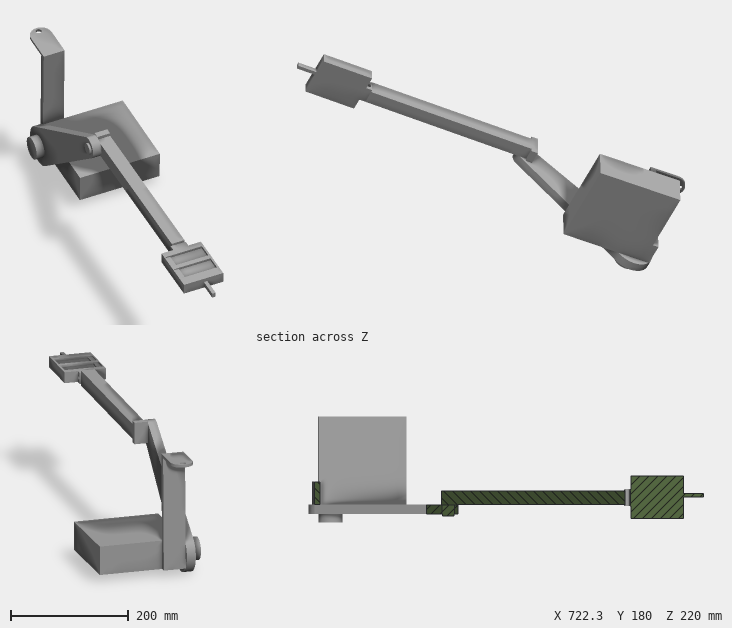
import cadquery as cq
import math


BASE_TILT = 1.2
CORNER_X, CORNER_Z = -19.0, -22.0
BOX_SIDE = 149.5
BOX_HEIGHT = 50.5
STRAP_HEIGHT = 205.0
STRAP_THICK = 10.0
BRACKET_WIDTH = 39.0
PLATE_LENGTH = 71.5
PLATE_THICK = 5.0
MOUNT_HOLE_DIA = 10.0
MOUNT_HOLE_FROM_END = 9.0

ARM_THICK = 16.0
LARGE_RADIUS = 35.5
SMALL_RADIUS = 19.0
ELBOW_X, ELBOW_Z = 200.0, 152.5
UPPER_LARGE_ANGLE = math.radians(134)
UPPER_SMALL_ANGLE = math.radians(119)
SHAFT_X, SHAFT_Z = 2.0, 2.0
SHAFT_RADIUS = 20.0
SHAFT_PROTRUSION = 14.5
PIN_X, PIN_Z = ELBOW_X + 2.0, ELBOW_Z
PIN_RADIUS = 10.0
PIN_PROTRUSION = 3.5

FOREARM_WIDTH = 24.0
FOREARM_HEIGHT = 27.0
END_BLOCK_LENGTH = 11.5
END_BLOCK_HEIGHT = 38.0
FOREARM_START = 190.0
FOREARM_LENGTH = 311.0
FOREARM_END = FOREARM_START + FOREARM_LENGTH
FOREARM_Y = FOREARM_WIDTH / 2

WRIST_LENGTH = 11.0
WRIST_HOLE_DIA = 7.0
CHEEK_THICK = 2.0
HAND_LENGTH = 90.0
HAND_WIDTH = 74.0
HAND_HEIGHT = 19.5
HAND_START = FOREARM_END + WRIST_LENGTH
HAND_Y = FOREARM_Y + 1.0
HAND_Z = ELBOW_Z - 1.0
POCKET_LENGTH = 26.0
POCKET_DEPTH = 4.0
POCKET_MARGIN = 11.5
POCKET_PITCH = 35.0
POCKET_BACK_WALL = 3.5
POCKET_FRONT_WALL = 2.0
LEDGE_WIDTH = 9.0
LEDGE_DEPTH = 2.0
TIP_LENGTH = 34.0
TIP_WIDTH = 6.5
TIP_HEIGHT = 9.0
TIP_Y = HAND_Y + 3.5
TIP_Z = HAND_Z - 1.5


def block(x, y, z, length, width, height):
    """Block that starts at x and is centred on y and z."""
    return cq.Workplane("XY").box(length, width, height, (False, True, True)).translate((x, y, z))


def rod(x, z, radius, front, back):
    """Cylinder along Y between the planes y = front and y = back."""
    return cq.Workplane("XZ", origin=(x, back, z)).circle(radius).extrude(back - front)


def tilted(body):
    """Move a base body from its upright frame to its tilted place."""
    return body.rotate((0, 0, 0), (0, 1, 0), BASE_TILT).translate((CORNER_X, 0, CORNER_Z))


def make_box():
    return tilted(cq.Workplane("XY").box(BOX_SIDE, BOX_SIDE, BOX_HEIGHT, centered=False))


def make_bracket():
    strap = cq.Workplane("XY").box(STRAP_THICK, BRACKET_WIDTH, STRAP_HEIGHT, centered=False)
    strap = strap.translate((-STRAP_THICK, 0, 0))
    end_radius = BRACKET_WIDTH / 2
    plate = (
        cq.Workplane("XY", origin=(0, 0, STRAP_HEIGHT - PLATE_THICK))
        .lineTo(0, BRACKET_WIDTH)
        .lineTo(end_radius - PLATE_LENGTH, BRACKET_WIDTH)
        .threePointArc((-PLATE_LENGTH, end_radius), (end_radius - PLATE_LENGTH, 0))
        .close()
        .extrude(PLATE_THICK)
    )
    hole = (
        cq.Workplane("XY")
        .center(MOUNT_HOLE_FROM_END - PLATE_LENGTH, end_radius)
        .circle(MOUNT_HOLE_DIA / 2)
        .extrude(STRAP_HEIGHT)
    )
    return tilted(strap.union(plate).cut(hole))


def make_arm():
    heading = math.atan2(ELBOW_Z, ELBOW_X)
    spread = math.acos((LARGE_RADIUS - SMALL_RADIUS) / math.hypot(ELBOW_X, ELBOW_Z))

    def on_large(angle):
        return LARGE_RADIUS * math.cos(angle), LARGE_RADIUS * math.sin(angle)

    def on_small(angle):
        return ELBOW_X + SMALL_RADIUS * math.cos(angle), ELBOW_Z + SMALL_RADIUS * math.sin(angle)

    arm = (
        cq.Workplane("XZ")
        .moveTo(*on_large(UPPER_LARGE_ANGLE))
        .threePointArc(on_large(heading + math.pi), on_large(heading - spread))
        .lineTo(*on_small(heading - spread))
        .threePointArc(on_small(heading), on_small(UPPER_SMALL_ANGLE))
        .close()
        .extrude(ARM_THICK)
    )
    arm = arm.cut(rod(SHAFT_X, SHAFT_Z, SHAFT_RADIUS, -ARM_THICK, 0))
    return arm.cut(rod(PIN_X, PIN_Z, PIN_RADIUS, -ARM_THICK, 0))


def make_shaft():
    return rod(SHAFT_X, SHAFT_Z, SHAFT_RADIUS, -ARM_THICK - SHAFT_PROTRUSION, 0)


def make_elbow_pin():
    return rod(PIN_X, PIN_Z, PIN_RADIUS, -ARM_THICK - PIN_PROTRUSION, 0)


def wrist_hole():
    """Hole along Y through the tongue and both cheeks."""
    x = FOREARM_END + WRIST_LENGTH / 2
    return rod(x, HAND_Z, WRIST_HOLE_DIA / 2, -FOREARM_WIDTH, 2 * FOREARM_WIDTH)


def make_forearm():
    beam = block(FOREARM_START, FOREARM_Y, ELBOW_Z, FOREARM_LENGTH, FOREARM_WIDTH, FOREARM_HEIGHT)
    end_block = block(
        FOREARM_START, FOREARM_Y, ELBOW_Z, END_BLOCK_LENGTH, FOREARM_WIDTH, END_BLOCK_HEIGHT
    )
    tongue = block(FOREARM_END, FOREARM_Y, HAND_Z, WRIST_LENGTH, FOREARM_WIDTH, HAND_HEIGHT)
    return beam.union(end_block).union(tongue).cut(wrist_hole())


def hand_pocket(x):
    """Pocket cutter with a shallower ledge along its -Y end."""
    top = HAND_Z + HAND_HEIGHT / 2
    floor = top - POCKET_DEPTH
    front = HAND_Y - HAND_WIDTH / 2 + POCKET_FRONT_WALL
    back = HAND_Y + HAND_WIDTH / 2 - POCKET_BACK_WALL
    ledge = top - LEDGE_DEPTH
    ledge_end = front + LEDGE_WIDTH
    profile = [
        (front, top),
        (front, ledge),
        (ledge_end, ledge),
        (ledge_end, floor),
        (back, floor),
        (back, top),
    ]
    return cq.Workplane("YZ", origin=(x, 0, 0)).polyline(profile).close().extrude(POCKET_LENGTH)


def make_hand():
    hand = block(HAND_START, HAND_Y, HAND_Z, HAND_LENGTH, HAND_WIDTH, HAND_HEIGHT)
    for index in range(2):
        hand = hand.cut(hand_pocket(HAND_START + POCKET_MARGIN + index * POCKET_PITCH))
    for side in (-1, 1):
        cheek_y = FOREARM_Y + side * (FOREARM_WIDTH + CHEEK_THICK) / 2
        cheek = block(FOREARM_END, cheek_y, HAND_Z, WRIST_LENGTH, CHEEK_THICK, HAND_HEIGHT)
        hand = hand.union(cheek)
    tip = block(HAND_START + HAND_LENGTH, TIP_Y, TIP_Z, TIP_LENGTH, TIP_WIDTH, TIP_HEIGHT)
    return hand.union(tip).cut(wrist_hole())


box = make_box()
bracket = make_bracket()
arm = make_arm()
shaft = make_shaft()
elbow_pin = make_elbow_pin()
forearm = make_forearm()
hand = make_hand()

result = cq.Compound.makeCompound(
    [body.val() for body in (box, bracket, arm, shaft, elbow_pin, forearm, hand)]
)